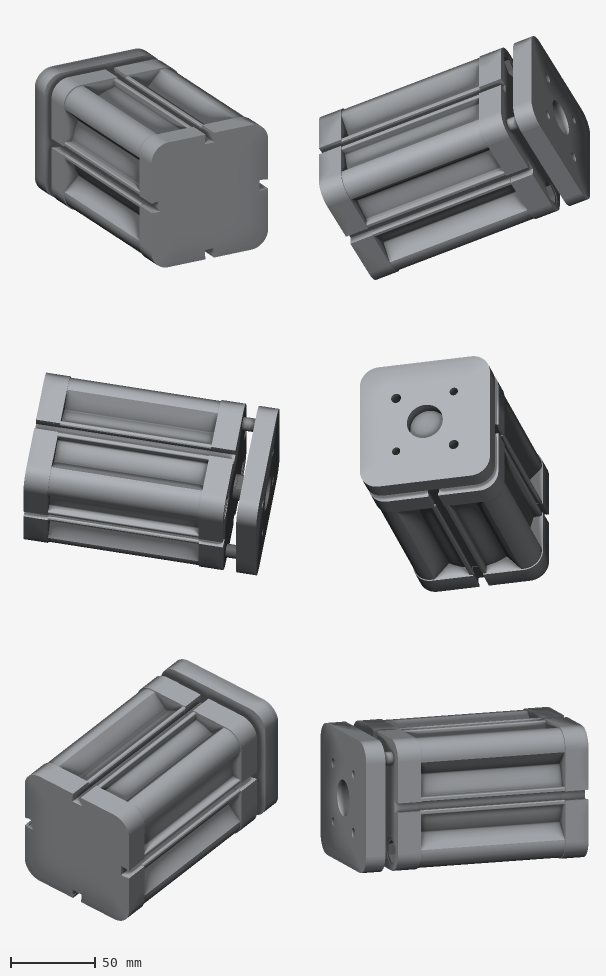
import cadquery as cq
import math

TOTAL_LENGTH = 140.0
SIDE = 79.5
CORNER_RADIUS = 11.5
PLATE_THICKNESS = 12.0
CAP_FRONT_OFFSET = 20.0
CAP_THICKNESS = 14.5

PLATE_FRONT = -TOTAL_LENGTH / 2
PLATE_BACK = PLATE_FRONT + PLATE_THICKNESS
HOUSING_FRONT = PLATE_FRONT + CAP_FRONT_OFFSET
HOUSING_BACK = TOTAL_LENGTH / 2
TUBE_FRONT = HOUSING_FRONT + CAP_THICKNESS
TUBE_BACK = HOUSING_BACK - CAP_THICKNESS
GAP = HOUSING_FRONT - PLATE_BACK

CENTRE_HOLE_DIAMETER = 22.0
CENTRE_HOLE_DEPTH = 8.0
PLATE_HOLE_OFFSET = 17.6
LARGE_HOLE_DIAMETER = 6.0
SMALL_HOLE_DIAMETER = 5.0

PISTON_DIAMETER = 16.0
PISTON_CHAMFER = 0.7
WRENCH_FLATS_WIDTH = 13.0
WRENCH_FLATS_LENGTH = 6.5
GUIDE_DIAMETER = 8.1
CORNER_OFFSET = 28.0

HEAD_RECESS_DIAMETER = 16.8
HEAD_RECESS_DEPTH = 0.4
HEX_ACROSS_FLATS = 11.8
HEX_DEPTH = 7.0
HEX_SIDES = 6

CAP_MOUTH_HALF = 3.0
CAP_LIP = 1.8
CAP_SLOT_HALF = 3.4
CAP_FLOOR_DEPTH = 6.0

TUBE_INSET = 0.7
TUBE_HALF = SIDE / 2 - TUBE_INSET
POST_CENTRE = SIDE / 2 - CORNER_RADIUS
POST_RADIUS = TUBE_HALF - POST_CENTRE
BARREL_RADIUS = 34.3
FLANK_OUTER = 26.5
FLANK_INNER = 17.6
FLANK_FOOT = math.sqrt(BARREL_RADIUS**2 - FLANK_INNER**2)
VALLEY_FILLET = 0.8
RIB_HALF = 5.3
RIB_ROUND = 0.8
RIB_FOOT_FILLET = 1.0
TUBE_MOUTH_HALF = 2.5
TUBE_MOUTH_CHAMFER = 0.5
TUBE_LIP = 1.7
TUBE_SLOT_HALF = 3.6
TUBE_FLOOR = 33.5

QUARTER_TURNS = [0, 90, 180, 270]


def section(x):
    """Workplane across the stroke axis; its local x and y are Y and Z."""
    return cq.Workplane("YZ", origin=(x, 0, 0))


def turned(body, angle):
    return body.rotate((0, 0, 0), (1, 0, 0), angle)


def rounded_block(x, length):
    return section(x).rect(SIDE, SIDE).extrude(length).edges("|X").fillet(CORNER_RADIUS)


def diagonal_points(offset, sign):
    """The two opposite corners (Y, Z) with Z = sign * Y."""
    return [(offset, sign * offset), (-offset, -sign * offset)]


def make_plate():
    plate = rounded_block(PLATE_FRONT, PLATE_THICKNESS)
    front = section(PLATE_FRONT)
    plate = plate.cut(front.circle(CENTRE_HOLE_DIAMETER / 2).extrude(CENTRE_HOLE_DEPTH))
    for diameter, sign in ((LARGE_HOLE_DIAMETER, 1), (SMALL_HOLE_DIAMETER, -1)):
        spots = diagonal_points(PLATE_HOLE_OFFSET, sign)
        plate = plate.cut(front.pushPoints(spots).circle(diameter / 2).extrude(PLATE_THICKNESS))
    return plate


def make_piston_rod():
    rod = section(PLATE_BACK).circle(PISTON_DIAMETER / 2).extrude(GAP)
    rod = rod.faces("<X").chamfer(PISTON_CHAMFER)
    flats = section(PLATE_BACK).rect(PISTON_DIAMETER, PISTON_DIAMETER)
    flats = flats.rect(PISTON_DIAMETER, WRENCH_FLATS_WIDTH).extrude(WRENCH_FLATS_LENGTH)
    return rod.cut(flats)


def make_guide_rod(y, z):
    return section(PLATE_BACK).center(y, z).circle(GUIDE_DIAMETER / 2).extrude(GAP)


def slot_cutter(x, length, top, mouth_half, slot_half, lip, floor):
    """Undercut slot at the +Z side."""
    mouth = section(x).rect(2 * mouth_half, 2 * (top - floor)).extrude(length)
    mouth = mouth.translate((0, 0, top))
    undercut_height = top - lip - floor
    undercut = section(x).center(0, floor + undercut_height / 2)
    return mouth.union(undercut.rect(2 * slot_half, undercut_height).extrude(length))


def make_cap(x):
    cap = rounded_block(x, CAP_THICKNESS)
    top = SIDE / 2
    floor = top - CAP_FLOOR_DEPTH
    slot = slot_cutter(x, CAP_THICKNESS, top, CAP_MOUTH_HALF, CAP_SLOT_HALF, CAP_LIP, floor)
    for angle in QUARTER_TURNS:
        cap = cap.cut(turned(slot, angle))
    return cap


def corner_post(length):
    """Round corner post at +Y +Z with flanks that slope down to the barrel."""
    post_top = POST_CENTRE + math.sqrt(POST_RADIUS**2 - (POST_CENTRE - FLANK_OUTER) ** 2)
    post_corner = POST_CENTRE + POST_RADIUS * math.cos(math.pi / 4)
    return (
        section(TUBE_FRONT)
        .lineTo(FLANK_FOOT, FLANK_INNER)
        .lineTo(post_top, FLANK_OUTER)
        .threePointArc((post_corner, post_corner), (FLANK_OUTER, post_top))
        .lineTo(FLANK_INNER, FLANK_FOOT)
        .close()
        .extrude(length)
    )


def slot_rib(length):
    """Rib at the +Z side that carries the slot."""
    rib = section(TUBE_FRONT).center(0, TUBE_HALF / 2).rect(2 * RIB_HALF, TUBE_HALF).extrude(length)
    return rib.edges("|X and >Z").fillet(RIB_ROUND)


def tube_slot(length):
    """Slot cutter at the +Z side with bevelled mouth edges."""
    slot = slot_cutter(
        TUBE_FRONT, length, TUBE_HALF, TUBE_MOUTH_HALF, TUBE_SLOT_HALF, TUBE_LIP, TUBE_FLOOR
    )
    bevel_half = TUBE_MOUTH_HALF + TUBE_MOUTH_CHAMFER
    bevel = [
        (-bevel_half, TUBE_HALF),
        (bevel_half, TUBE_HALF),
        (0, TUBE_HALF - bevel_half),
    ]
    return slot.union(section(TUBE_FRONT).polyline(bevel).close().extrude(length))


def fillet_mirrored_edges(tube, x, across, out, radius):
    """Fillet the lengthwise edge at (across, out) and its seven mirror images."""
    for y, z in ((across, out), (out, across)):
        for side_y in (1, -1):
            for side_z in (1, -1):
                nearest = cq.selectors.NearestToPointSelector((x, side_y * y, side_z * z))
                tube = tube.edges("|X").edges(nearest).fillet(radius)
    return tube


def make_tube():
    length = TUBE_BACK - TUBE_FRONT
    tube = section(TUBE_FRONT).circle(BARREL_RADIUS).extrude(length)
    post = corner_post(length)
    for angle in QUARTER_TURNS:
        tube = tube.union(turned(post, angle))

    middle = (TUBE_FRONT + TUBE_BACK) / 2
    tube = fillet_mirrored_edges(tube, middle, FLANK_INNER, FLANK_FOOT, VALLEY_FILLET)

    rib = slot_rib(length)
    for angle in QUARTER_TURNS:
        tube = tube.union(turned(rib, angle))
    rib_foot = math.sqrt(BARREL_RADIUS**2 - RIB_HALF**2)
    tube = fillet_mirrored_edges(tube, middle, RIB_HALF, rib_foot, RIB_FOOT_FILLET)

    slot = tube_slot(length)
    for angle in QUARTER_TURNS:
        tube = tube.cut(turned(slot, angle))
    return tube


def make_housing():
    housing = make_cap(HOUSING_FRONT).union(make_tube()).union(make_cap(TUBE_BACK))
    heads = section(HOUSING_FRONT).pushPoints(diagonal_points(CORNER_OFFSET, 1))
    housing = housing.cut(heads.circle(HEAD_RECESS_DIAMETER / 2).extrude(HEAD_RECESS_DEPTH))
    hex_corner_diameter = HEX_ACROSS_FLATS / math.cos(math.pi / HEX_SIDES)
    for y, z in diagonal_points(CORNER_OFFSET, 1):
        socket = section(HOUSING_FRONT).polygon(HEX_SIDES, hex_corner_diameter).extrude(HEX_DEPTH)
        socket = turned(socket, 90).translate((0, y, z))
        housing = housing.cut(socket)
    return housing


plate = make_plate()
piston_rod = make_piston_rod()
guide_rods = [make_guide_rod(y, z) for y, z in diagonal_points(CORNER_OFFSET, -1)]
housing = make_housing()

result = cq.Compound.makeCompound(
    [
        plate.val(),
        piston_rod.val(),
        *[rod.val() for rod in guide_rods],
        housing.val(),
    ]
)